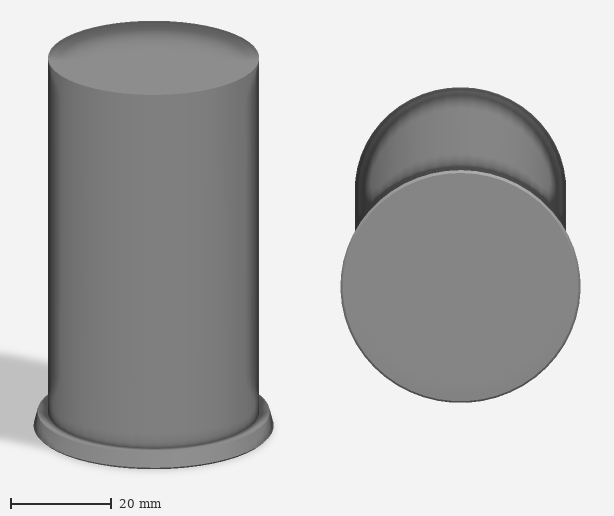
import cadquery as cq

total_height = 78.5
body_diameter = 42.0
flange_diameter = 47.7
flange_top_diameter = 46.15
flange_height = 3.5
rim_height = 0.5
rim_inset = 0.5

body_radius = body_diameter / 2
flange_radius = flange_diameter / 2
flange_top_radius = flange_top_diameter / 2

profile = (
    cq.Workplane("XZ")
    .moveTo(0, 0)
    .lineTo(flange_radius - rim_inset, 0)
    .lineTo(flange_radius, rim_height)
    .lineTo(flange_top_radius, flange_height)
    .lineTo(body_radius, flange_height)
    .lineTo(body_radius, total_height)
    .lineTo(0, total_height)
    .close()
)

result = profile.revolve(360, (0, 0, 0), (0, 1, 0))